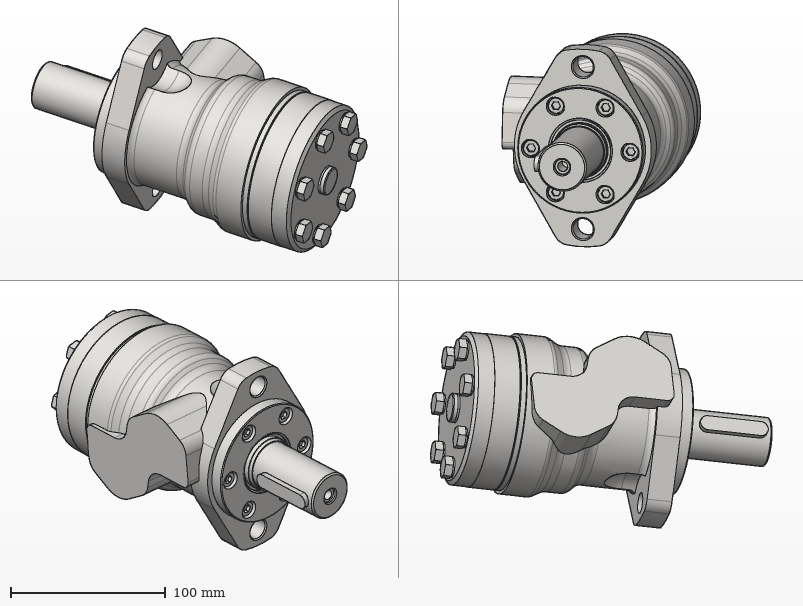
import cadquery as cq
import math


COLLAR_X = 56.0
PILOT_X = 59.0
FLANGE_X = 67.5
FLANGE_BACK_X = 84.0
HOUSING_STEP_X = 172.5
GEAR_RING_X = 176.5
END_COVER_X = 193.6
END_COVER_BACK_X = 206.5
OVERALL_LENGTH = 212.8

SHAFT_DIA = 32.0
SHAFT_CHAMFER = 1.0
COLLAR_CONE_DIA = 33.2
COLLAR_CONE_END_DIA = 35.0
COLLAR_CONE_LENGTH = 2.1
JOURNAL_DIA = 35.8
CENTRE_HOLE_DIA = 6.5
CENTRE_HOLE_DEPTH = 17.0
CENTRE_HOLE_POINT_DEPTH = 2.0
CENTRE_MOUTH_DIA = 11.5
CENTRE_BORE_DIA = 10.0
CENTRE_BORE_DEPTH = 2.1
KEY_X = 3.6
KEY_LENGTH = 45.1
KEY_WIDTH = 10.0
KEY_HEIGHT = 8.0
KEY_TOP_Y = 19.2

PILOT_DIA = 82.5
PILOT_CHAMFER = 0.6
SEAL_RECESS_DIA = 39.5
SEAL_RECESS_DEPTH = 2.5
SEAL_RIM_DIA = 42.1
SEAL_RIM_DEPTH = 0.9
SCREW_COUNT = 6
SCREW_CIRCLE_RADIUS = 32.8
SCREW_RECESS_DIA = 12.0
SCREW_RECESS_DEPTH = 4.3
SCREW_HEAD_DIA = 10.0
SCREW_HEAD_SETBACK = 2.0
SCREW_SOCKET_ACROSS_CORNERS = 6.0
SCREW_SOCKET_DEPTH = 2.5

FLANGE_SIDE_RADIUS = 45.1
FLANGE_TIP_RADIUS = 65.0
FLANGE_SIDE_ANGLE = 30.0
FLANGE_CORNER_RADIUS = 10.6
MOUNT_HOLE_DIA = 13.5
MOUNT_HOLE_CHAMFER = 0.9
MOUNT_HOLE_Z = 53.2
RELIEF_RADIUS = 18.7
RELIEF_CENTRE_X = 93.6

NECK_RADIUS = 40.6
WAIST_RADIUS = 47.5
HOUSING_RADIUS = 52.1
ROOT_RADIUS = 42.5
ROOT_END_X = 88.5
JOINT_CHAMFER = 0.5

PORT_FACE_Y = 55.0
PORT_BLOCK_BASE_Y = 12.8
PORT_BLOCK_CENTRE_X = 123.0

GEAR_RING_DIA = 100.0
END_COVER_DIA = 99.5
END_COVER_CHAMFER_LENGTH = 2.8
END_COVER_CHAMFER_DEPTH = 2.0
BOLT_COUNT = 7
BOLT_CIRCLE_RADIUS = 39.2
FIRST_BOLT_ANGLE = -2.8
BOLT_ACROSS_FLATS = 13.0
BOLT_HEX_ANGLE = 47.0
BOLT_CHAMFER = 0.5
BOLT_FACE_HEIGHT = 1.0
PLUG_WASHER_DIA = 19.0
PLUG_WASHER_THICKNESS = 1.3
PLUG_DIA = 18.7
PLUG_END_X = 210.9
PLUG_CHAMFER = 0.6


def x_plane(x):
    """Workplane across the shaft axis at X = x; its local axes are Y and Z."""
    return cq.Workplane("YZ", origin=(x, 0, 0))


def cylinder(x_start, x_end, diameter):
    return x_plane(x_start).circle(diameter / 2).extrude(x_end - x_start)


def revolve_about_shaft(profile):
    return profile.close().revolve(360, (0, 0, 0), (1, 0, 0))


def circle_points(count, radius, first_angle=0.0):
    """Evenly spaced (Y, Z) points on a circle about the shaft axis."""
    angles = [math.radians(first_angle + 360 * i / count) for i in range(count)]
    return [(radius * math.cos(a), radius * math.sin(a)) for a in angles]


def step_towards(start, end, distance):
    ratio = distance / math.dist(start, end)
    return tuple(s + ratio * (e - s) for s, e in zip(start, end))


def rounded_corner(before, corner, after, radius):
    """Start, middle and end of the arc that rounds a corner."""
    heading_in = math.atan2(corner[1] - before[1], corner[0] - before[0])
    heading_out = math.atan2(after[1] - corner[1], after[0] - corner[0])
    half_turn = abs(math.remainder(heading_out - heading_in, 2 * math.pi)) / 2
    tangent_length = radius * math.tan(half_turn)
    start = step_towards(corner, before, tangent_length)
    end = step_towards(corner, after, tangent_length)
    chord_middle = step_towards(start, end, math.dist(start, end) / 2)
    middle = step_towards(corner, chord_middle, radius / math.cos(half_turn) - radius)
    return start, middle, end


def make_key():
    plan = cq.Workplane("XZ", origin=(KEY_X + KEY_LENGTH / 2, KEY_TOP_Y, 0))
    return plan.slot2D(KEY_LENGTH, KEY_WIDTH).extrude(KEY_HEIGHT)


def centre_hole():
    hole_radius = CENTRE_HOLE_DIA / 2
    mouth_depth = (CENTRE_MOUTH_DIA - CENTRE_BORE_DIA) / 2
    return revolve_about_shaft(
        cq.Workplane("XY")
        .lineTo(0, CENTRE_MOUTH_DIA / 2)
        .lineTo(mouth_depth, CENTRE_BORE_DIA / 2)
        .lineTo(CENTRE_BORE_DEPTH, CENTRE_BORE_DIA / 2)
        .lineTo(CENTRE_BORE_DEPTH, hole_radius)
        .lineTo(CENTRE_HOLE_DEPTH, hole_radius)
        .lineTo(CENTRE_HOLE_DEPTH + CENTRE_HOLE_POINT_DEPTH, 0)
    )


def make_shaft(key):
    cone_end_x = COLLAR_X + COLLAR_CONE_LENGTH
    blank = revolve_about_shaft(
        cq.Workplane("XY")
        .lineTo(0, SHAFT_DIA / 2 - SHAFT_CHAMFER)
        .lineTo(SHAFT_CHAMFER, SHAFT_DIA / 2)
        .lineTo(COLLAR_X, SHAFT_DIA / 2)
        .lineTo(COLLAR_X, COLLAR_CONE_DIA / 2)
        .lineTo(cone_end_x, COLLAR_CONE_END_DIA / 2)
        .lineTo(cone_end_x, JOURNAL_DIA / 2)
        .lineTo(FLANGE_BACK_X, JOURNAL_DIA / 2)
        .lineTo(FLANGE_BACK_X, 0)
    )
    return blank.cut(centre_hole()).cut(key)


def screw_recesses(points):
    """Ring-shaped recesses that leave a socket screw head standing in each."""
    head_x = PILOT_X + SCREW_HEAD_SETBACK
    recesses = x_plane(PILOT_X).pushPoints(points).circle(SCREW_RECESS_DIA / 2).extrude(SCREW_RECESS_DEPTH)
    head_height = SCREW_RECESS_DEPTH - SCREW_HEAD_SETBACK
    heads = x_plane(head_x).pushPoints(points).circle(SCREW_HEAD_DIA / 2).extrude(head_height)
    sockets = (
        x_plane(head_x)
        .pushPoints(points)
        .polygon(6, SCREW_SOCKET_ACROSS_CORNERS)
        .extrude(SCREW_SOCKET_DEPTH)
    )
    return recesses.cut(heads).union(sockets)


def make_front_cover():
    cover = cylinder(PILOT_X, FLANGE_X, PILOT_DIA).faces("<X").chamfer(PILOT_CHAMFER)
    cover = cover.cut(cylinder(PILOT_X, PILOT_X + SEAL_RECESS_DEPTH, SEAL_RECESS_DIA))
    cover = cover.cut(cylinder(PILOT_X, PILOT_X + SEAL_RIM_DEPTH, SEAL_RIM_DIA))
    cover = cover.cut(cylinder(PILOT_X, FLANGE_X, JOURNAL_DIA))
    return cover.cut(screw_recesses(circle_points(SCREW_COUNT, SCREW_CIRCLE_RADIUS)))


def flange_plate():
    """Two-hole flange: a round middle that tapers along tangents to both tips."""
    angle = math.radians(FLANGE_SIDE_ANGLE)
    thickness = FLANGE_BACK_X - FLANGE_X
    tangent_y = FLANGE_SIDE_RADIUS * math.cos(angle)
    tangent_z = FLANGE_SIDE_RADIUS * math.sin(angle)
    line_length = math.sqrt(FLANGE_TIP_RADIUS**2 - FLANGE_SIDE_RADIUS**2)
    corner_y = tangent_y - line_length * math.sin(angle)
    corner_z = tangent_z + line_length * math.cos(angle)
    plate = (
        x_plane(FLANGE_X)
        .moveTo(tangent_y, -tangent_z)
        .threePointArc((FLANGE_SIDE_RADIUS, 0), (tangent_y, tangent_z))
        .lineTo(corner_y, corner_z)
        .threePointArc((0, FLANGE_TIP_RADIUS), (-corner_y, corner_z))
        .lineTo(-tangent_y, tangent_z)
        .threePointArc((-FLANGE_SIDE_RADIUS, 0), (-tangent_y, -tangent_z))
        .lineTo(-corner_y, -corner_z)
        .threePointArc((0, -FLANGE_TIP_RADIUS), (corner_y, -corner_z))
        .close()
        .extrude(thickness)
    )
    for y in (-corner_y, corner_y):
        for z in (-corner_z, corner_z):
            corner_edge = cq.selectors.NearestToPointSelector((FLANGE_X + thickness / 2, y, z))
            plate = plate.edges(corner_edge).fillet(FLANGE_CORNER_RADIUS)
    return plate


def turned_body():
    """Neck, waist and large rim of the housing, turned about the shaft axis."""
    root_rise = ROOT_RADIUS - NECK_RADIUS
    root_length = ROOT_END_X - FLANGE_BACK_X
    root_arc_radius = (root_length**2 + root_rise**2) / (2 * root_rise)
    root_middle_x = ROOT_END_X - root_length / 2
    root_sag = root_arc_radius - math.sqrt(root_arc_radius**2 - (root_length / 2) ** 2)

    steps = [
        (123.0, NECK_RADIUS, 8.7),
        (130.0, WAIST_RADIUS, 6.5),
        (144.7, WAIST_RADIUS, 10.6),
        (153.0, HOUSING_RADIUS, 5.1),
    ]
    path = [(ROOT_END_X, NECK_RADIUS)] + [(x, r) for x, r, _ in steps] + [(HOUSING_STEP_X, HOUSING_RADIUS)]
    profile = (
        cq.Workplane("XY")
        .moveTo(FLANGE_X, 0)
        .lineTo(FLANGE_X, NECK_RADIUS)
        .lineTo(FLANGE_BACK_X, NECK_RADIUS)
        .lineTo(FLANGE_BACK_X, ROOT_RADIUS)
        .threePointArc((root_middle_x, NECK_RADIUS + root_sag), (ROOT_END_X, NECK_RADIUS))
    )
    for before, corner, after, step in zip(path, path[1:], path[2:], steps):
        start, middle, end = rounded_corner(before, corner, after, step[2])
        profile = profile.lineTo(*start).threePointArc(middle, end)
    joint_radius = GEAR_RING_DIA / 2
    return revolve_about_shaft(
        profile.lineTo(HOUSING_STEP_X, HOUSING_RADIUS)
        .lineTo(HOUSING_STEP_X, joint_radius)
        .lineTo(GEAR_RING_X - JOINT_CHAMFER, joint_radius)
        .lineTo(GEAR_RING_X, joint_radius - JOINT_CHAMFER)
        .lineTo(GEAR_RING_X, 0)
    )


def port_block():
    """Port block whose outline repeats after half a turn about its centre."""
    half = [
        (75.0, -5.0, 4.7),
        (78.0, 25.5, 12.0),
        (105.3, 41.3, 19.5),
        (131.7, 24.7, 12.0),
        (135.0, 5.0, 11.0),
    ]
    corners = half + [(2 * PORT_BLOCK_CENTRE_X - x, -z, radius) for x, z, radius in half]
    points = [(x, z) for x, z, _ in corners]
    arcs = []
    for i, (x, z, radius) in enumerate(corners):
        following = points[(i + 1) % len(points)]
        arcs.append(rounded_corner(points[i - 1], (x, z), following, radius))
    outline = cq.Workplane("XZ", origin=(0, PORT_FACE_Y, 0)).moveTo(*arcs[0][0])
    for i, (start, middle, end) in enumerate(arcs):
        if i > 0:
            outline = outline.lineTo(*start)
        outline = outline.threePointArc(middle, end)
    return outline.close().extrude(PORT_FACE_Y - PORT_BLOCK_BASE_Y)


def mounting_hole(z):
    """Through hole in the flange, chamfered at the front face."""
    hole_radius = MOUNT_HOLE_DIA / 2
    mouth_radius = hole_radius + MOUNT_HOLE_CHAMFER
    profile = (
        cq.Workplane("XY", origin=(FLANGE_X, 0, z))
        .lineTo(0, mouth_radius)
        .lineTo(MOUNT_HOLE_CHAMFER, hole_radius)
        .lineTo(FLANGE_BACK_X - FLANGE_X, hole_radius)
        .lineTo(FLANGE_BACK_X - FLANGE_X, 0)
    )
    return revolve_about_shaft(profile)


def bolt_relief(z):
    """Round-ended hollow in the neck that clears a mounting bolt head."""
    barrel = (
        x_plane(FLANGE_BACK_X)
        .center(0, z)
        .circle(RELIEF_RADIUS)
        .extrude(RELIEF_CENTRE_X - FLANGE_BACK_X)
    )
    ball = cq.Workplane("XY", origin=(RELIEF_CENTRE_X, 0, z)).sphere(RELIEF_RADIUS)
    flange_half = x_plane(RELIEF_CENTRE_X).center(0, z).circle(2 * RELIEF_RADIUS).extrude(-2 * RELIEF_RADIUS)
    return barrel.union(ball.cut(flange_half))


def make_housing():
    housing = turned_body()
    for z in (-MOUNT_HOLE_Z, MOUNT_HOLE_Z):
        housing = housing.cut(bolt_relief(z))
    housing = housing.union(flange_plate()).union(port_block())
    for z in (-MOUNT_HOLE_Z, MOUNT_HOLE_Z):
        housing = housing.cut(mounting_hole(z))
    return housing.cut(cylinder(FLANGE_X, FLANGE_BACK_X, JOURNAL_DIA))


def make_gear_ring():
    return cylinder(GEAR_RING_X, END_COVER_X, GEAR_RING_DIA).faces("<X").chamfer(JOINT_CHAMFER)


def bolt_head(y, z):
    """Hexagon head on a round bearing face, with its outer corners turned off."""
    across_corners = BOLT_ACROSS_FLATS / math.cos(math.pi / 6)
    hex_x = END_COVER_BACK_X + BOLT_FACE_HEIGHT
    head_height = OVERALL_LENGTH - hex_x
    bearing_face = (
        x_plane(END_COVER_BACK_X)
        .center(y, z)
        .circle(BOLT_ACROSS_FLATS / 2)
        .extrude(BOLT_FACE_HEIGHT)
    )
    hexagon = (
        x_plane(hex_x)
        .polygon(6, across_corners)
        .extrude(head_height)
        .rotate((0, 0, 0), (1, 0, 0), BOLT_HEX_ANGLE)
        .translate((0, y, z))
    )
    envelope = x_plane(hex_x).center(y, z).circle(across_corners / 2).extrude(head_height)
    return hexagon.intersect(envelope.faces(">X").chamfer(BOLT_CHAMFER)).union(bearing_face)


def make_end_cover():
    cover = cylinder(END_COVER_X, END_COVER_BACK_X, END_COVER_DIA)
    cover = cover.faces(">X").chamfer(END_COVER_CHAMFER_DEPTH, END_COVER_CHAMFER_LENGTH)
    plug = cylinder(END_COVER_BACK_X, PLUG_END_X, PLUG_DIA).faces(">X").chamfer(PLUG_CHAMFER)
    washer = cylinder(END_COVER_BACK_X, END_COVER_BACK_X + PLUG_WASHER_THICKNESS, PLUG_WASHER_DIA)
    cover = cover.union(plug).union(washer)
    for y, z in circle_points(BOLT_COUNT, BOLT_CIRCLE_RADIUS, FIRST_BOLT_ANGLE):
        cover = cover.union(bolt_head(y, z))
    return cover


key = make_key()
shaft = make_shaft(key)
front_cover = make_front_cover()
housing = make_housing()
gear_ring = make_gear_ring()
end_cover = make_end_cover()

result = cq.Compound.makeCompound(
    [
        shaft.val(),
        key.val(),
        front_cover.val(),
        housing.val(),
        gear_ring.val(),
        end_cover.val(),
    ]
)